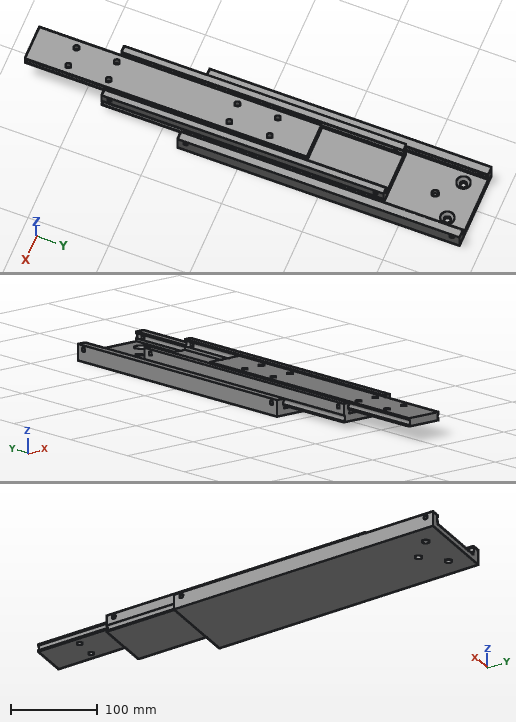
import cadquery as cq


total_length = 550.0
stagger = 100.0
rail_length = total_length - 2 * stagger

total_height = 32.0
base_height = 20.0
base_floor = 8.0
middle_bottom = 10.0
middle_floor = 19.0
top_thickness = 10.0

base_half_width = 50.0
base_channel_half_width = 39.0
middle_half_width = 35.0
middle_channel_half_width = 26.5
top_half_width = 22.5

track_radius = 4.0
track_offset = 1.5
track_drop = 5.0
lower_track_x = middle_half_width + track_offset
lower_track_z = base_height - track_drop
upper_track_x = middle_channel_half_width - track_offset
upper_track_z = total_height - track_drop

stop_hole_diameter = 5.0
stop_hole_inset = 10.0

mount_hole_diameter = 8.0
countersink_diameter = 16.5
countersink_angle = 90
centre_hole_inset = 50.0
mount_inset = centre_hole_inset / 2
mount_half_spacing = mount_inset

load_hole_diameter = 6.5
load_half_spacing = 12.5
load_hole_pitch = 50.0
load_hole_insets = (load_hole_pitch, 2 * load_hole_pitch)


def bar(half_width, bottom, top, front):
    """A rectangular bar of rail length, centred on X, starting at the given front end."""
    plane = cq.Workplane("XY", origin=(0, front, bottom))
    return plane.box(2 * half_width, rail_length, top - bottom, centered=(True, False, False))


def cut_tracks(rail, track_x, track_z, front):
    """Cut the left and right ball tracks along the whole rail."""
    tracks = (
        cq.Workplane("XZ", origin=(0, front, track_z))
        .pushPoints([(-track_x, 0), (track_x, 0)])
        .circle(track_radius)
        .extrude(-rail_length)
    )
    return rail.cut(tracks)


def cut_stop_holes(rail, half_width, track_z, front):
    """Drill across X through both side walls near each end of the rail."""
    drills = (
        cq.Workplane("YZ", origin=(-half_width, front, track_z))
        .pushPoints([(stop_hole_inset, 0), (rail_length - stop_hole_inset, 0)])
        .circle(stop_hole_diameter / 2)
        .extrude(2 * half_width)
    )
    return rail.cut(drills)


def make_base_rail():
    front = 2 * stagger
    back = front + rail_length
    rail = bar(base_half_width, 0, base_height, front)
    rail = rail.cut(bar(base_channel_half_width, base_floor, base_height, front))
    rail = cut_tracks(rail, lower_track_x, lower_track_z, front)
    rail = cut_stop_holes(rail, base_half_width, lower_track_z, front)
    floor = cq.Workplane("XY", origin=(0, 0, base_floor))
    mount_points = [(x, back - mount_inset) for x in (-mount_half_spacing, mount_half_spacing)]
    rail = (
        rail.copyWorkplane(floor)
        .pushPoints(mount_points)
        .cskHole(mount_hole_diameter, countersink_diameter, countersink_angle)
    )
    return rail.copyWorkplane(floor).pushPoints([(0, back - centre_hole_inset)]).hole(mount_hole_diameter)


def make_middle_rail():
    front = stagger
    rail = bar(middle_half_width, middle_bottom, total_height, front)
    rail = rail.cut(bar(middle_channel_half_width, middle_floor, total_height, front))
    rail = cut_tracks(rail, lower_track_x, lower_track_z, front)
    rail = cut_tracks(rail, upper_track_x, upper_track_z, front)
    return cut_stop_holes(rail, middle_half_width, upper_track_z, front)


def make_top_rail():
    front = 0
    rail = bar(top_half_width, total_height - top_thickness, total_height, front)
    rail = cut_tracks(rail, upper_track_x, upper_track_z, front)
    load_points = [
        (x, y)
        for x in (-load_half_spacing, load_half_spacing)
        for inset in load_hole_insets
        for y in (front + inset, front + rail_length - inset)
    ]
    top_face = cq.Workplane("XY", origin=(0, 0, total_height))
    return rail.copyWorkplane(top_face).pushPoints(load_points).hole(load_hole_diameter)


base_rail = make_base_rail()
middle_rail = make_middle_rail()
top_rail = make_top_rail()

result = cq.Compound.makeCompound([base_rail.val(), middle_rail.val(), top_rail.val()])